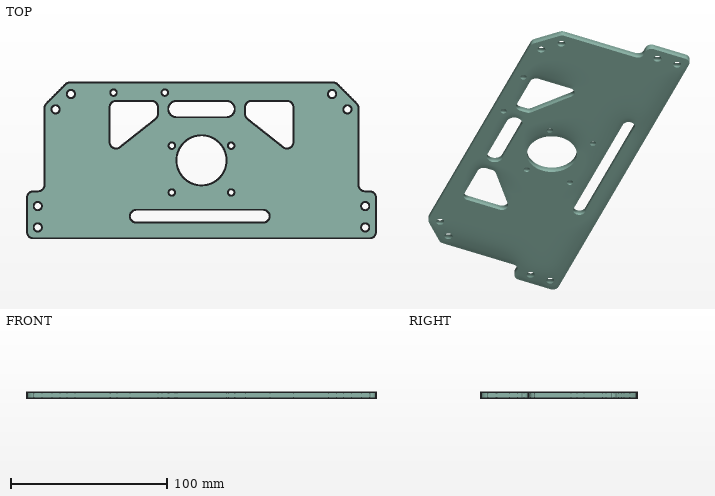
import cadquery as cq

plate_width = 223.5
plate_depth = 100.0
plate_thickness = 4.0
corner_radius = 4.0

body_half_width = 100.6
tab_height = 30.2
chamfer_leg = 14.8

bore_diameter = 32.0
small_hole_diameter = 4.0
bore_hole_half_spacing = 19.0
bore_hole_upper_y = 9.5
bore_hole_lower_y = -20.5

top_hole_xs = (-56.3, -23.5)
top_hole_y = 43.4

mount_hole_diameter = 5.1
mount_holes = ((83.6, 42.5), (93.5, 32.6), (104.9, -29.3), (104.9, -43.0))

upper_slot_length = 42.5
upper_slot_x = 0.0
upper_slot_width = 10.3
upper_slot_y = 32.9
lower_slot_length = 89.5
lower_slot_x = -1.1
lower_slot_width = 8.0
lower_slot_y = -35.8

window_inner_x = 28.0
window_outer_x = 58.8
window_top_y = 38.0
window_inner_corner_y = 27.7
window_outer_corner_y = 3.4

half_width = plate_width / 2
half_depth = plate_depth / 2


def mirrored(points):
    """The points together with their mirror images across the YZ plane."""
    return [(side * x, y) for side in (1, -1) for x, y in points]


def plate():
    tab_top_y = tab_height - half_depth
    right_side = [
        (half_width, -half_depth),
        (half_width, tab_top_y),
        (body_half_width, tab_top_y),
        (body_half_width, half_depth - chamfer_leg),
        (body_half_width - chamfer_leg, half_depth),
    ]
    left_side = [(-x, y) for x, y in reversed(right_side)]
    blank = cq.Workplane("XY").polyline(right_side + left_side).close().extrude(plate_thickness)
    return blank.edges("|Z").fillet(corner_radius)


def holes(points, diameter):
    return cq.Workplane("XY").pushPoints(points).circle(diameter / 2).extrude(plate_thickness)


def slot(length, width, x, y):
    return cq.Workplane("XY").center(x, y).slot2D(length, width).extrude(plate_thickness)


def window(side):
    """Four-sided opening, on the right for side = 1 and on the left for side = -1."""
    corners = [
        (side * window_inner_x, window_top_y),
        (side * window_outer_x, window_top_y),
        (side * window_outer_x, window_outer_corner_y),
        (side * window_inner_x, window_inner_corner_y),
    ]
    opening = cq.Workplane("XY").polyline(corners).close().extrude(plate_thickness)
    return opening.edges("|Z").fillet(corner_radius)


bore_holes = mirrored([(bore_hole_half_spacing, y) for y in (bore_hole_upper_y, bore_hole_lower_y)])
top_holes = [(x, top_hole_y) for x in top_hole_xs]

result = (
    plate()
    .cut(holes([(0, 0)], bore_diameter))
    .cut(holes(bore_holes + top_holes, small_hole_diameter))
    .cut(holes(mirrored(mount_holes), mount_hole_diameter))
    .cut(slot(upper_slot_length, upper_slot_width, upper_slot_x, upper_slot_y))
    .cut(slot(lower_slot_length, lower_slot_width, lower_slot_x, lower_slot_y))
    .cut(window(1))
    .cut(window(-1))
)